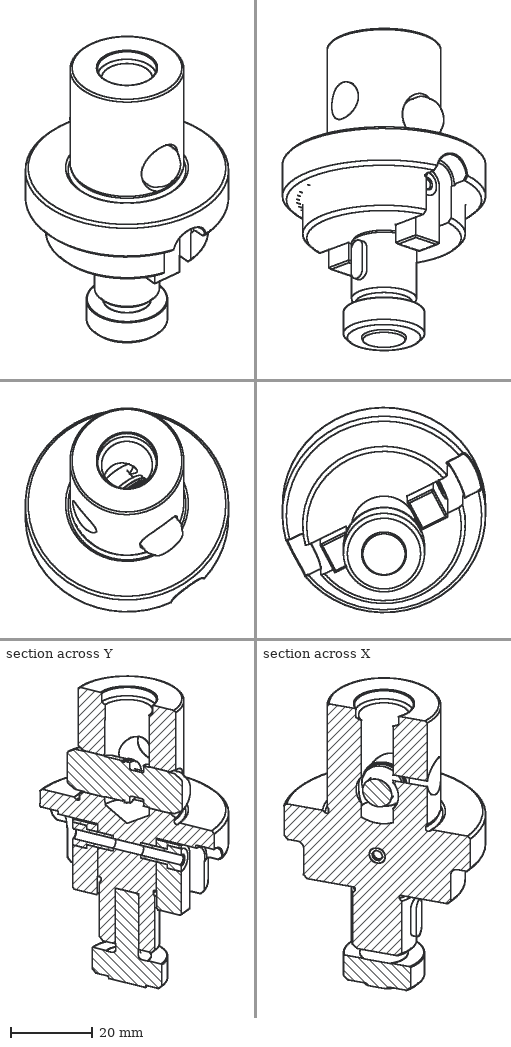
import cadquery as cq
import math


TAN_30 = math.tan(math.radians(30))
TAN_60 = math.tan(math.radians(60))

SHANK_RADIUS = 14.0
SHANK_TOP = 30.0
SHANK_CHAMFER = 0.5
RELIEF_TOP = 1.2
RELIEF_NECK_TOP = 0.4
RELIEF_RADIUS = 13.65
RELIEF_FILLET = 0.4
SEAT_RING_RADIUS = 15.1
SEAT_RING_DEPTH = 0.6

COLLAR_RADIUS = 25.0
COLLAR_BOTTOM = -10.0
COLLAR_TOP_CHAMFER = 0.7
COLLAR_BOTTOM_CHAMFER = 1.0
BOSS_RADIUS = 20.0
BOSS_BOTTOM = -20.0
BOSS_CHAMFER = 1.0
BOSS_FILLET = 1.5

ARBOR_RADIUS = 8.0
ARBOR_BOTTOM = -37.0
ARBOR_CHAMFER = 1.0
NECK_RADIUS = 7.5
NECK_LENGTH = 0.8
NECK_TAPER = 0.7
NECK_FILLET = 0.4

BORE_RADIUS = 6.25
BORE_BOTTOM = 0.0
MOUTH_RADIUS = 7.25
MOUTH_DEPTH = 2.5
MOUTH_CHAMFER = 0.25

PIN_RADIUS = 5.5
PIN_Z = 7.5
PIN_LENGTH = 33.0
PIN_CENTRE_X = -0.67
PIN_TAPER_LENGTH = 2.3
PIN_EDGE_FILLET = 0.9
PIN_GROOVE_START = -1.3
PIN_GROOVE_END = -0.8
PIN_GROOVE_DEPTH = 0.3
PIN_BEAD_END = -0.15
PIN_BEAD_RADIUS = 5.75
PIN_NECK_START = 0.9
PIN_NECK_END = 4.7
PIN_NECK_RADIUS = 3.6
PIN_NECK_FILLET = 0.35
PIN_HOLE_MOUTH_RADIUS = 6.5

SIDE_HOLE_RADIUS = 4.75
SIDE_HOLE_Z = 12.5

KEY_WIDTH = 8.0
KEY_INNER_X = 8.4
KEY_OUTER_X = 15.6
KEY_BOTTOM = -25.0
KEY_CHAMFER = 0.45
KEY_CENTRE_Z = COLLAR_BOTTOM
KEY_SIDE_CLEARANCE = 0.2
COLLAR_NOTCH_RADIUS = 5.0
COLLAR_NOTCH_FLOOR_X = 19.8
COLLAR_NOTCH_CHAMFER = 0.25

KEY_SCREW_HEAD_RADIUS = 3.0
KEY_SCREW_HEAD_LENGTH = 4.0
KEY_SCREW_SHANK_RADIUS = 2.0
KEY_SCREW_LENGTH = 11.6
KEY_SCREW_BORE_RADIUS = 1.25
KEY_SCREW_BORE_CHAMFER = 0.3

ARBOR_KEY_WIDTH = 4.0
ARBOR_KEY_HEIGHT = 4.0
ARBOR_KEY_LENGTH = 10.0
ARBOR_KEY_TOP_Z = -23.0
ARBOR_KEY_OUTER_Y = 9.2

SCREW_SHANK_RADIUS = 3.3
SCREW_GRIP = 15.0
SCREW_HEAD_RADIUS = 10.0
SCREW_HEAD_TOP = -39.3
SCREW_HEAD_BOTTOM = -46.2
SCREW_HEAD_TOP_CHAMFER = 0.2
SCREW_HEAD_CHAMFER = 1.0
SCREW_FILLET = 1.0
SCREW_RECESS_RADIUS = 5.95
SCREW_RECESS_DEPTH = 0.1
SCREW_PAD_TOP_RADIUS = 5.5
SCREW_PAD_BOTTOM_RADIUS = 5.2
SCREW_BOTTOM = -46.8

SIDES = (-1, 1)


def revolve_z(outline):
    """Turn a closed (radius, z) outline about the Z axis."""
    return outline.close().revolve(360, (0, 0, 0), (0, 1, 0))


def x_cylinder(radius, start, end, z):
    """Cylinder along X from x = start to x = end, in the plane y = 0."""
    return cq.Workplane("YZ", origin=(start, 0, z)).circle(radius).extrude(end - start)


def round_top_slab(radius, inner, outer, bottom):
    """Slab normal to X whose top is a half round about the drive key centre."""
    return (
        cq.Workplane("YZ", origin=(inner, 0, KEY_CENTRE_Z))
        .moveTo(-radius, 0)
        .threePointArc((0, radius), (radius, 0))
        .lineTo(radius, bottom - KEY_CENTRE_Z)
        .lineTo(-radius, bottom - KEY_CENTRE_Z)
        .close()
        .extrude(outer - inner)
    )


def to_side(body, side):
    """Leave a body made on +X there, or turn it round Z to -X."""
    return body if side > 0 else body.rotate((0, 0, 0), (0, 0, 1), 180)



def make_drive_key_blank():
    key = round_top_slab(KEY_WIDTH / 2, KEY_INNER_X, KEY_OUTER_X, KEY_BOTTOM)
    return key.faces("<Z").chamfer(KEY_CHAMFER)


def make_key_screw_blank():
    head_seat = KEY_OUTER_X - KEY_SCREW_HEAD_LENGTH
    head = x_cylinder(KEY_SCREW_HEAD_RADIUS, head_seat, KEY_OUTER_X, KEY_CENTRE_Z)
    tip = KEY_OUTER_X - KEY_SCREW_LENGTH
    shank = x_cylinder(KEY_SCREW_SHANK_RADIUS, tip, head_seat, KEY_CENTRE_Z)
    return head.union(shank)


def make_key_screw():
    bore = x_cylinder(KEY_SCREW_BORE_RADIUS, 0, KEY_OUTER_X, KEY_CENTRE_Z)
    screw = make_key_screw_blank().cut(bore)
    mouth = cq.selectors.RadiusNthSelector(0)
    return screw.faces(">X").edges(mouth).chamfer(KEY_SCREW_BORE_CHAMFER)


def make_drive_key():
    return make_drive_key_blank().cut(make_key_screw_blank())


def make_arbor_key():
    centre_z = ARBOR_KEY_TOP_Z - ARBOR_KEY_LENGTH / 2
    return (
        cq.Workplane("XZ", origin=(0, ARBOR_KEY_OUTER_Y, centre_z))
        .slot2D(ARBOR_KEY_LENGTH, ARBOR_KEY_WIDTH, 90)
        .extrude(ARBOR_KEY_HEIGHT)
    )


def make_retaining_screw():
    recess_floor = SCREW_HEAD_TOP - SCREW_RECESS_DEPTH
    fillet_middle = SCREW_FILLET * (1 - math.sqrt(0.5))
    return revolve_z(
        cq.Workplane("XZ")
        .moveTo(0, ARBOR_BOTTOM + SCREW_GRIP)
        .lineTo(SCREW_SHANK_RADIUS, ARBOR_BOTTOM + SCREW_GRIP)
        .lineTo(SCREW_SHANK_RADIUS, recess_floor + SCREW_FILLET)
        .threePointArc(
            (SCREW_SHANK_RADIUS + fillet_middle, recess_floor + fillet_middle),
            (SCREW_SHANK_RADIUS + SCREW_FILLET, recess_floor),
        )
        .lineTo(SCREW_RECESS_RADIUS, recess_floor)
        .lineTo(SCREW_RECESS_RADIUS, SCREW_HEAD_TOP)
        .lineTo(SCREW_HEAD_RADIUS - SCREW_HEAD_TOP_CHAMFER, SCREW_HEAD_TOP)
        .lineTo(SCREW_HEAD_RADIUS, SCREW_HEAD_TOP - SCREW_HEAD_TOP_CHAMFER)
        .lineTo(SCREW_HEAD_RADIUS, SCREW_HEAD_BOTTOM + SCREW_HEAD_CHAMFER)
        .lineTo(SCREW_HEAD_RADIUS - SCREW_HEAD_CHAMFER, SCREW_HEAD_BOTTOM)
        .lineTo(SCREW_PAD_TOP_RADIUS, SCREW_HEAD_BOTTOM)
        .lineTo(SCREW_PAD_BOTTOM_RADIUS, SCREW_BOTTOM)
        .lineTo(0, SCREW_BOTTOM)
    )



def pin_ring(start, end, inner_radius, outer_radius):
    outer = x_cylinder(outer_radius, start, end, PIN_Z)
    return outer.cut(x_cylinder(inner_radius, start, end, PIN_Z))


def make_cross_pin():
    left = PIN_CENTRE_X - PIN_LENGTH / 2
    right = left + PIN_LENGTH
    end_radius = PIN_RADIUS - PIN_TAPER_LENGTH * TAN_30
    groove_radius = PIN_RADIUS - PIN_GROOVE_DEPTH

    pin = (
        cq.Workplane("XY")
        .moveTo(left, 0)
        .lineTo(left, end_radius)
        .lineTo(left + PIN_TAPER_LENGTH, PIN_RADIUS)
        .lineTo(right - PIN_TAPER_LENGTH, PIN_RADIUS)
        .lineTo(right, end_radius)
        .lineTo(right, 0)
        .close()
        .revolve(360, (0, 0, 0), (1, 0, 0))
        .edges("%CIRCLE")
        .fillet(PIN_EDGE_FILLET)
        .translate((0, 0, PIN_Z))
    )
    groove = pin_ring(PIN_GROOVE_START, PIN_GROOVE_END, groove_radius, PIN_RADIUS)
    neck = pin_ring(PIN_NECK_START, PIN_NECK_END, PIN_NECK_RADIUS, PIN_RADIUS)
    neck = neck.edges(cq.selectors.RadiusNthSelector(0)).fillet(PIN_NECK_FILLET)
    bead = x_cylinder(PIN_BEAD_RADIUS, PIN_GROOVE_END, PIN_BEAD_END, PIN_Z)
    return pin.cut(groove).cut(neck).union(bead)



def make_housing_blank():
    recess_radius = SEAT_RING_RADIUS - SEAT_RING_DEPTH
    neck_end = BOSS_BOTTOM - NECK_LENGTH
    fillet_middle = BOSS_FILLET * (1 - math.sqrt(0.5))
    relief_middle = RELIEF_FILLET * (1 - math.sqrt(0.5))
    neck_fillet_middle = NECK_FILLET * (1 - math.sqrt(0.5))
    return revolve_z(
        cq.Workplane("XZ")
        .moveTo(0, SHANK_TOP)
        .lineTo(SHANK_RADIUS - SHANK_CHAMFER, SHANK_TOP)
        .lineTo(SHANK_RADIUS, SHANK_TOP - SHANK_CHAMFER)
        .lineTo(SHANK_RADIUS, RELIEF_TOP)
        .lineTo(RELIEF_RADIUS, RELIEF_NECK_TOP)
        .lineTo(RELIEF_RADIUS, RELIEF_FILLET - SEAT_RING_DEPTH)
        .threePointArc(
            (RELIEF_RADIUS + relief_middle, relief_middle - SEAT_RING_DEPTH),
            (RELIEF_RADIUS + RELIEF_FILLET, -SEAT_RING_DEPTH),
        )
        .lineTo(recess_radius, -SEAT_RING_DEPTH)
        .lineTo(SEAT_RING_RADIUS, 0)
        .lineTo(COLLAR_RADIUS - COLLAR_TOP_CHAMFER, 0)
        .lineTo(COLLAR_RADIUS, -COLLAR_TOP_CHAMFER)
        .lineTo(COLLAR_RADIUS, COLLAR_BOTTOM + COLLAR_BOTTOM_CHAMFER)
        .lineTo(COLLAR_RADIUS - COLLAR_BOTTOM_CHAMFER, COLLAR_BOTTOM)
        .lineTo(BOSS_RADIUS + BOSS_FILLET, COLLAR_BOTTOM)
        .threePointArc(
            (BOSS_RADIUS + fillet_middle, COLLAR_BOTTOM - fillet_middle),
            (BOSS_RADIUS, COLLAR_BOTTOM - BOSS_FILLET),
        )
        .lineTo(BOSS_RADIUS, BOSS_BOTTOM + BOSS_CHAMFER)
        .lineTo(BOSS_RADIUS - BOSS_CHAMFER, BOSS_BOTTOM)
        .lineTo(NECK_RADIUS + NECK_FILLET, BOSS_BOTTOM)
        .threePointArc(
            (NECK_RADIUS + neck_fillet_middle, BOSS_BOTTOM - neck_fillet_middle),
            (NECK_RADIUS, BOSS_BOTTOM - NECK_FILLET),
        )
        .lineTo(NECK_RADIUS, neck_end)
        .lineTo(ARBOR_RADIUS, neck_end - NECK_TAPER)
        .lineTo(ARBOR_RADIUS, ARBOR_BOTTOM + ARBOR_CHAMFER)
        .lineTo(ARBOR_RADIUS - ARBOR_CHAMFER, ARBOR_BOTTOM)
        .lineTo(0, ARBOR_BOTTOM)
    )


def make_bore():
    """Stepped bore with a 120 degree shoulder and a 120 degree drill point."""
    shoulder_top = SHANK_TOP - MOUTH_DEPTH
    shoulder_height = (MOUTH_RADIUS - BORE_RADIUS) / TAN_60
    return revolve_z(
        cq.Workplane("XZ")
        .moveTo(0, SHANK_TOP)
        .lineTo(MOUTH_RADIUS + MOUTH_CHAMFER, SHANK_TOP)
        .lineTo(MOUTH_RADIUS, SHANK_TOP - MOUTH_CHAMFER)
        .lineTo(MOUTH_RADIUS, shoulder_top)
        .lineTo(BORE_RADIUS, shoulder_top - shoulder_height)
        .lineTo(BORE_RADIUS, BORE_BOTTOM)
        .lineTo(0, BORE_BOTTOM - BORE_RADIUS / TAN_60)
    )


def make_pin_hole():
    """Cross hole for the pin, opening in a 30 degree cone at both ends."""
    mouth_depth = (PIN_HOLE_MOUTH_RADIUS - PIN_RADIUS) / TAN_30
    cone_start = SHANK_RADIUS - mouth_depth
    hole = x_cylinder(PIN_RADIUS, -SHANK_RADIUS, SHANK_RADIUS, PIN_Z)
    for side in SIDES:
        cone = cq.Solid.makeCone(
            PIN_RADIUS,
            PIN_HOLE_MOUTH_RADIUS,
            mouth_depth,
            pnt=cq.Vector(side * cone_start, 0, PIN_Z),
            dir=cq.Vector(side, 0, 0),
        )
        hole = hole.union(cq.Workplane(cone))
    return hole


def make_side_hole():
    return (
        cq.Workplane("XZ", origin=(0, SHANK_RADIUS, SIDE_HOLE_Z))
        .circle(SIDE_HOLE_RADIUS)
        .extrude(SHANK_RADIUS)
    )


def make_key_slot():
    """Slot on +X, slightly wider than the drive key and open at the boss bottom."""
    slot_radius = KEY_WIDTH / 2 + KEY_SIDE_CLEARANCE
    return round_top_slab(slot_radius, KEY_INNER_X, COLLAR_RADIUS, BOSS_BOTTOM)


def make_collar_notch():
    """Wider notch on +X that clears the drive key slot in the collar."""
    return round_top_slab(COLLAR_NOTCH_RADIUS, COLLAR_NOTCH_FLOOR_X, COLLAR_RADIUS, BOSS_BOTTOM)


def chamfer_notch(housing, side):
    """Break the round edge where a notch leaves the outside of the collar."""
    reach = COLLAR_NOTCH_RADIUS + COLLAR_NOTCH_CHAMFER
    inner_x = side * (COLLAR_NOTCH_FLOOR_X + COLLAR_RADIUS) / 2
    outer_x = side * (COLLAR_RADIUS + COLLAR_NOTCH_CHAMFER)
    lowest_z = COLLAR_BOTTOM + COLLAR_BOTTOM_CHAMFER / 2
    notch_edges = cq.selectors.BoxSelector(
        (inner_x, -reach, lowest_z),
        (outer_x, reach, -COLLAR_TOP_CHAMFER),
    )
    return housing.edges(notch_edges).chamfer(COLLAR_NOTCH_CHAMFER)


def make_housing():
    housing = make_housing_blank()
    for side in SIDES:
        housing = chamfer_notch(housing.cut(to_side(make_collar_notch(), side)), side)
    housing = housing.cut(make_bore()).cut(make_pin_hole()).cut(make_side_hole())
    for side in SIDES:
        housing = housing.cut(to_side(make_key_slot(), side))
        housing = housing.cut(to_side(make_key_screw_blank(), side))
    cross_bore = x_cylinder(KEY_SCREW_BORE_RADIUS, -KEY_INNER_X, KEY_INNER_X, KEY_CENTRE_Z)
    return housing.cut(cross_bore).cut(make_arbor_key()).cut(make_retaining_screw())


housing = make_housing()
cross_pin = make_cross_pin()
arbor_key = make_arbor_key()
retaining_screw = make_retaining_screw()
drive_keys = [to_side(make_drive_key(), side) for side in SIDES]
key_screws = [to_side(make_key_screw(), side) for side in SIDES]

result = cq.Compound.makeCompound(
    [
        housing.val(),
        cross_pin.val(),
        arbor_key.val(),
        retaining_screw.val(),
        *[key.val() for key in drive_keys],
        *[screw.val() for screw in key_screws],
    ]
)